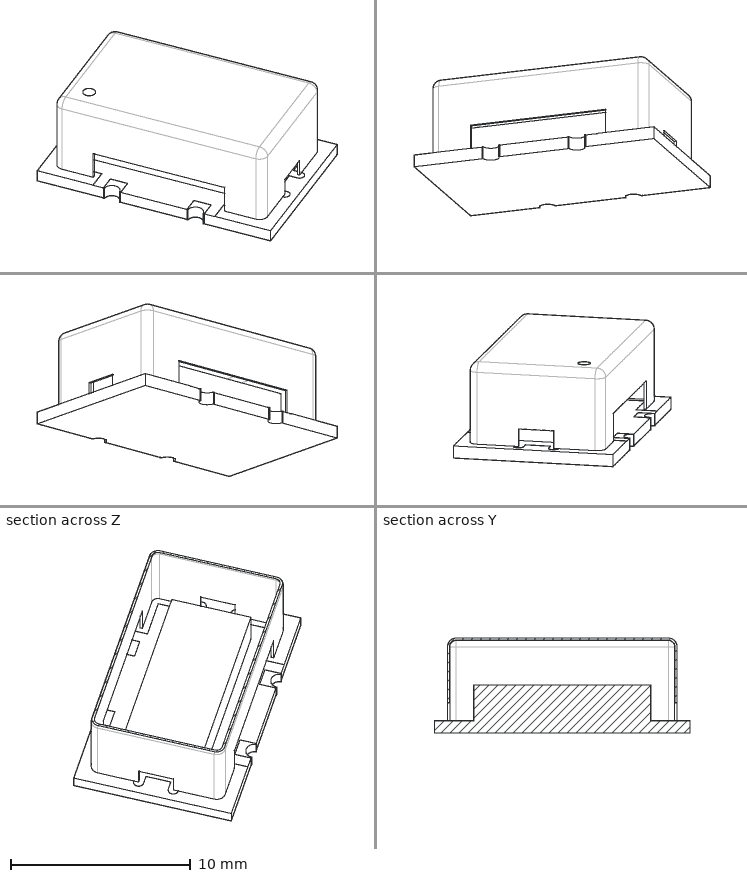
import cadquery as cq

length = 14.2
overall_width = 9.16
overall_height = 5.3

deck_height = 0.7
copper_rise = 0.01
plating_overhang = 0.03
board_width = overall_width - 2 * plating_overhang
board_thickness = deck_height - copper_rise

pad_offset_x = 2.54
pad_width = 1.05
pad_depth = 0.97
castellation_radius = 0.45

land_width = 1.2
land_gap_half_length = 3.7

cover_length = 12.78
cover_width = 7.72
cover_height = overall_height - deck_height
cover_radius = 0.5
cover_wall = 0.14
long_notch_length = 8.0
long_notch_height = 1.6
end_notch_width = 2.0
end_notch_height = 1.0

relief_radius = 0.28

component_length = 9.85
component_width = 4.57
component_height = 2.0

dot_radius = 0.35
dot_depth = 0.01
dot_x = -4.9
dot_y = -2.4


def block(size_x, size_y, size_z, x=0.0, y=0.0, z=0.0):
    """Box centred on (x, y) and standing on height z."""
    return cq.Workplane("XY").box(size_x, size_y, size_z, centered=(True, True, False)).translate((x, y, z))


def disc(radius, height, x, y, z=0.0):
    """Upright cylinder centred on (x, y) and standing on height z."""
    return cq.Workplane("XY", origin=(x, y, z)).circle(radius).extrude(height)


def make_land():
    """C-shaped copper lands at both ends, with reliefs beside the end notches."""
    land = block(length, board_width, copper_rise, z=board_thickness)
    land = land.cut(
        block(length - 2 * land_width, board_width - 2 * land_width, copper_rise, z=board_thickness)
    )
    land = land.cut(block(2 * land_gap_half_length, board_width, copper_rise, z=board_thickness))
    for side_x in (-1, 1):
        for side_y in (-1, 1):
            outer_x = side_x * cover_length / 2
            inner_x = side_x * (length / 2 - land_width)
            y = side_y * end_notch_width / 2
            slot_length = abs(outer_x - inner_x)
            slot_x = (outer_x + inner_x) / 2
            land = land.cut(
                block(slot_length, 2 * relief_radius, copper_rise, slot_x, y, board_thickness)
            )
            land = land.cut(disc(relief_radius, copper_rise, outer_x, y, board_thickness))
    return land


def make_board():
    """Board with lands and plated half-round castellations."""
    board = block(length, board_width, board_thickness).union(make_land())
    for side_y in (-1, 1):
        for side_x in (-1, 1):
            x = side_x * pad_offset_x
            edge_y = side_y * overall_width / 2
            board = board.union(block(pad_width, pad_depth, deck_height, x, edge_y - side_y * pad_depth / 2))
            board = board.cut(disc(castellation_radius, deck_height, x, edge_y))
    return board


def make_cover():
    """Hollow rounded cover, open below and notched through all four walls."""
    cover = block(cover_length, cover_width, cover_height, z=deck_height)
    cover = cover.edges("|Z or >Z").fillet(cover_radius)
    cavity = block(
        cover_length - 2 * cover_wall,
        cover_width - 2 * cover_wall,
        cover_height - cover_wall,
        z=deck_height,
    )
    cavity = cavity.edges("|Z or >Z").fillet(cover_radius - cover_wall)
    cover = cover.cut(cavity)
    cover = cover.cut(block(long_notch_length, cover_width, long_notch_height, z=deck_height))
    cover = cover.cut(block(cover_length, end_notch_width, end_notch_height, z=deck_height))
    return cover.cut(disc(dot_radius, dot_depth, dot_x, dot_y, overall_height - dot_depth))


def make_component():
    """Component standing on the bare board inside the cover."""
    return block(component_length, component_width, component_height, z=board_thickness)


result = make_board().union(make_component()).union(make_cover())